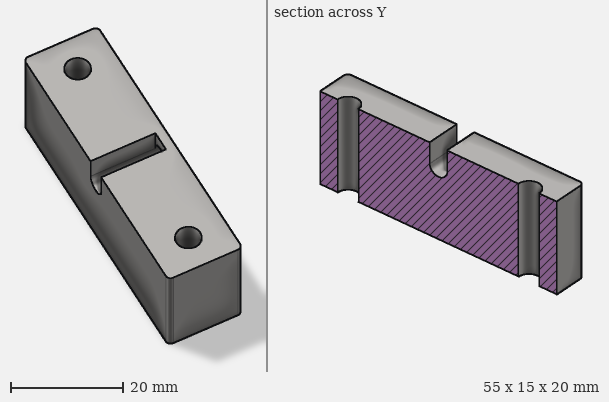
import cadquery as cq

length = 55.0
depth = 15.0
height = 20.0
corner_radius = 1.0

mount_diameter = 4.8
mount_spacing = 42.0

channel_width = 4.0
channel_axis_depth = 4.5
back_wall = 1.9

front_y = -depth / 2
channel_length = depth - back_wall
axis_z = height - channel_axis_depth


def make_block():
    block = cq.Workplane("XY").box(length, depth, height, centered=(True, True, False))
    return block.edges("|Z").fillet(corner_radius)


def make_mounting_holes():
    centers = [(-mount_spacing / 2, 0), (mount_spacing / 2, 0)]
    return cq.Workplane("XY").pushPoints(centers).circle(mount_diameter / 2).extrude(height)


def make_channel():
    bore = (
        cq.Workplane("XZ", origin=(0, front_y, axis_z))
        .circle(channel_width / 2)
        .extrude(-depth)
    )
    slot = cq.Workplane("XY").box(
        channel_width, channel_length, channel_axis_depth, centered=(True, False, False)
    )
    return bore.union(slot.translate((0, front_y, axis_z)))


result = make_block().cut(make_mounting_holes()).cut(make_channel())